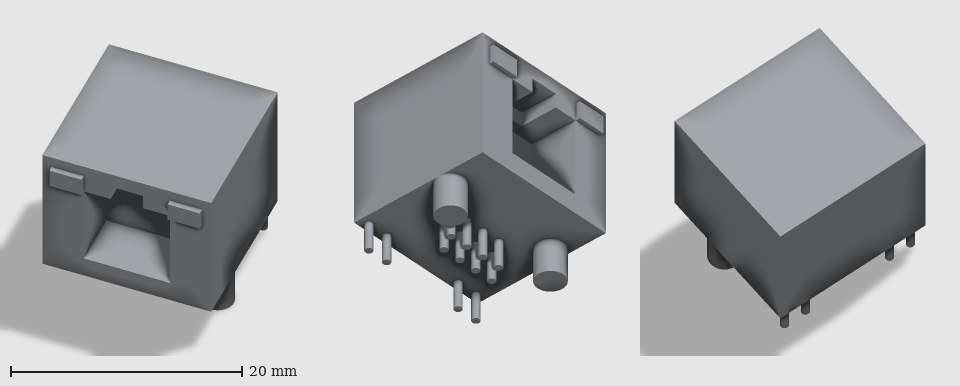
import cadquery as cq

housing_width = 15.8
housing_depth = 15.04
housing_height = 12.95

opening_width = 8.07
opening_bottom = 2.03
opening_top = 10.04
opening_depth = 5.15
notch_width = 3.0
notch_height = 1.46
notch_depth = 4.0

lens_width = 3.0
lens_height = 1.82
lens_protrusion = 0.51

peg_diameter = 3.0
peg_length = 3.45
peg_from_back = 9.92

pin_diameter = 0.8
pin_length = 2.84
pin_pitch = 1.02
signal_pin_count = 8
front_row_from_back = 7.38
middle_row_from_back = 5.64
back_row_from_back = 0.77
lens_pin_outer_x = 6.85
lens_pin_inner_x = pin_pitch * (signal_pin_count + 1) / 2


def box_from_front(width, height, y_start, depth, center_x, bottom_z):
    """Box centred on center_x that runs back from y_start and up from bottom_z."""
    return (
        cq.Workplane("XY")
        .box(width, depth, height, centered=(True, False, False))
        .translate((center_x, y_start, bottom_z))
    )


def posts(points, diameter, length):
    """Round posts hanging from the underside of the housing."""
    return cq.Workplane("XY").pushPoints(points).circle(diameter / 2).extrude(-length)


def make_housing():
    housing = box_from_front(housing_width, housing_height, 0, housing_depth, 0, 0)
    opening = box_from_front(
        opening_width, opening_top - opening_bottom, 0, opening_depth, 0, opening_bottom
    )
    notch = box_from_front(notch_width, notch_height, 0, notch_depth, 0, opening_top)
    return housing.cut(opening).cut(notch)


def signal_pin_points():
    """Evenly pitched pins that alternate between the front and middle rows."""
    points = []
    for index in range(signal_pin_count):
        x = (index - (signal_pin_count - 1) / 2) * pin_pitch
        from_back = front_row_from_back if index % 2 == 0 else middle_row_from_back
        points.append((x, housing_depth - from_back))
    return points


peg_x = (housing_width - peg_diameter) / 2
peg_points = [(side * peg_x, housing_depth - peg_from_back) for side in (-1, 1)]
lens_pin_points = [
    (side * x, housing_depth - back_row_from_back)
    for side in (-1, 1)
    for x in (lens_pin_inner_x, lens_pin_outer_x)
]

result = make_housing()

lens_x = (opening_width + lens_width) / 2
for side in (-1, 1):
    lens = box_from_front(
        lens_width, lens_height, -lens_protrusion, lens_protrusion, side * lens_x, opening_top
    )
    result = result.union(lens)

result = result.union(posts(peg_points, peg_diameter, peg_length))
result = result.union(posts(signal_pin_points() + lens_pin_points, pin_diameter, pin_length))